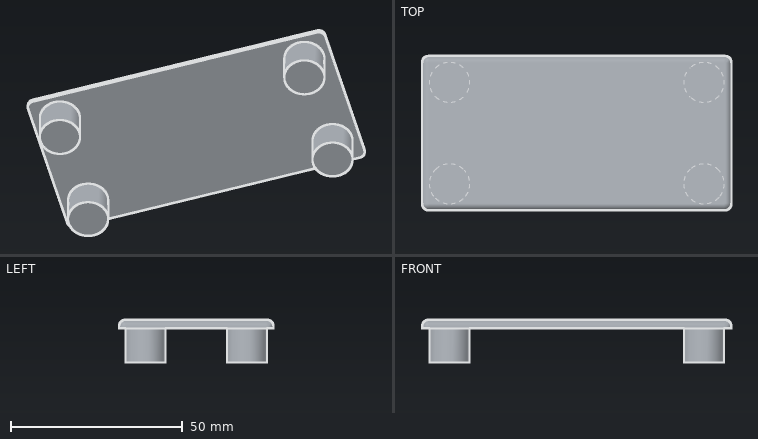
import cadquery as cq

plate_length = 90.0
plate_width = plate_length / 2
total_height = 12.5
plate_thickness = 2.5
edge_radius = 2.0

foot_diameter = 11.7
foot_height = total_height - plate_thickness
foot_spacing_x = 74.0
foot_spacing_y = 29.5


def make_plate():
    """Rectangular plate on Z = 0 with rounded corners and top rim."""
    plate = cq.Workplane("XY").box(
        plate_length, plate_width, plate_thickness, centered=(True, True, False)
    )
    return plate.edges("|Z or >Z").fillet(edge_radius)


def make_feet():
    """Four round feet hanging below the plate, one near each corner."""
    return (
        cq.Workplane("XY")
        .rect(foot_spacing_x, foot_spacing_y, forConstruction=True)
        .vertices()
        .circle(foot_diameter / 2)
        .extrude(-foot_height)
    )


result = make_plate().union(make_feet())